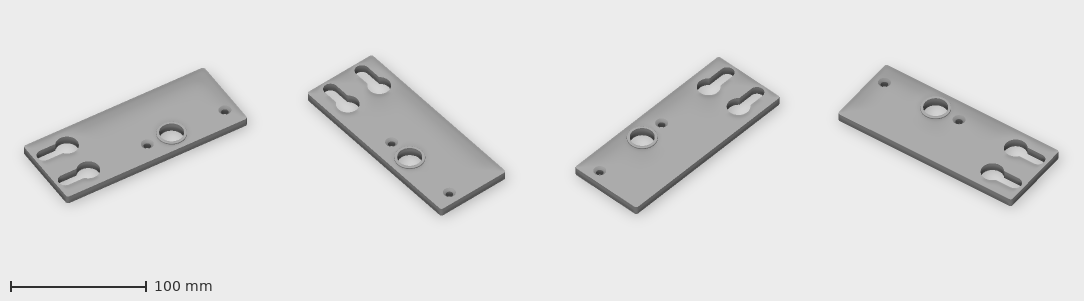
import cadquery as cq

plate_width = 62.0
plate_length = 156.0
plate_thickness = 7.0
corner_radius = 2.0

column_spacing = 30.0
column_x = column_spacing / 2

screw_hole_ys = (1.0, 68.0)
screw_hole_diameter = 5.5
countersink_diameter = 9.5
countersink_angle = 90

bushing_y = 22.0
bushing_outer_diameter = 23.0
bushing_bore = 18.4
bushing_proud = 0.98
bushing_recess = 0.5
bushing_edge_radius = 0.5

keyhole_y = -49.9
keyhole_diameter = 17.5
keyhole_slot_width = 10.9
keyhole_bottom_y = -75.3


def make_keyhole_cutter(x):
    """Full-depth cutter for one keyhole."""
    slot_end_y = keyhole_bottom_y + keyhole_slot_width / 2
    slot_run = keyhole_y - slot_end_y
    opening = cq.Workplane("XY").center(x, keyhole_y).circle(keyhole_diameter / 2).extrude(plate_thickness)
    slot = (
        cq.Workplane("XY")
        .center(x, slot_end_y + slot_run / 2)
        .slot2D(slot_run + keyhole_slot_width, keyhole_slot_width, 90)
        .extrude(plate_thickness)
    )
    return opening.union(slot)


def make_plate():
    """Flat plate, underside at Z = 0, with rounded vertical edges and all its openings."""
    plate = cq.Workplane("XY").rect(plate_width, plate_length).extrude(plate_thickness)
    plate = plate.edges("|Z").fillet(corner_radius)

    top_plane = cq.Workplane("XY", origin=(0, 0, plate_thickness))
    screw_points = [(column_x, y) for y in screw_hole_ys]
    plate = plate.copyWorkplane(top_plane).pushPoints(screw_points)
    plate = plate.cskHole(screw_hole_diameter, countersink_diameter, countersink_angle)

    plate = plate.copyWorkplane(top_plane).center(column_x, bushing_y).hole(bushing_outer_diameter)

    for x in (-column_x, column_x):
        plate = plate.cut(make_keyhole_cutter(x))
    return plate


def make_bushing():
    """Sleeve in the plate's through hole, rounded around its top outer edge."""
    length = plate_thickness - bushing_recess + bushing_proud
    blank = (
        cq.Workplane("XY", origin=(column_x, bushing_y, bushing_recess))
        .circle(bushing_outer_diameter / 2)
        .extrude(length)
        .edges(">Z")
        .fillet(bushing_edge_radius)
    )
    return blank.faces(">Z").workplane().hole(bushing_bore)


plate = make_plate()
bushing = make_bushing()

result = cq.Compound.makeCompound([plate.val(), bushing.val()])